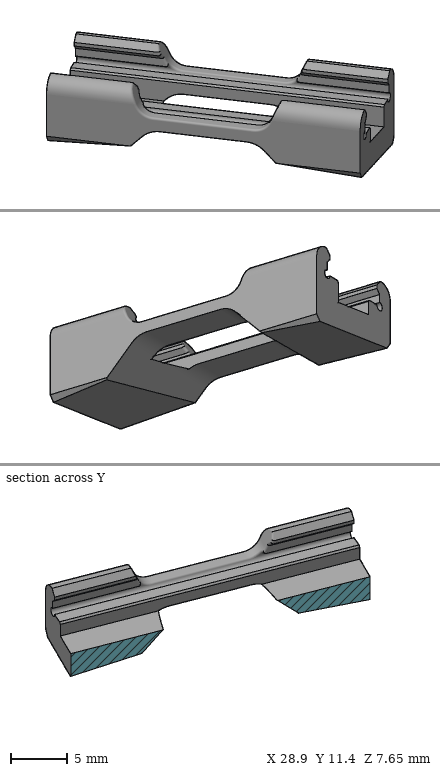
import math

import cadquery as cq

LENGTH = 28.87
WIDTH = 11.4
HEIGHT = 7.65
HALF_LENGTH = LENGTH / 2
HALF_WIDTH = WIDTH / 2

CROSS_TILT = 8.0
CHANNEL_HALF_WIDTH = 2.3
FLOOR_MIDDLE_HEIGHT = 3.32
FOOT_HALF_WIDTH = 5.2
LOW_CHAMFER_HEIGHT = 0.55
HIGH_CHAMFER_HEIGHT = 0.65
UNDERSIDE_RISE = 4.3

LEDGE_HEIGHT = 5.1
LEDGE_CHAMFER = 0.17
WALL_INNER_Y = 4.05
GROOVE_RADIUS = 0.4
LIP_OUTER_RADIUS = 1.41
LIP_TIP_Y = 3.6
LIP_TOP_Y = 4.2
LIP_TIP_TOP = 7.07
LIP_TIP_BOTTOM = 6.73

GAP_HALF_WIDTH = 6.8
GAP_SIDE_ANGLE = 24.0
GAP_FILLET = 1.67
GAP_RIM_RADIUS = 0.2

ARCH_HEIGHT = 3.87
ARCH_TOP_HALF_WIDTH = 4.95
ARCH_SIDE_ANGLE = 45.0
ARCH_FILLET = 2.3

CUT_MARGIN = 1.45
CROSS_SLOPE = math.tan(math.radians(CROSS_TILT))


def add_upper_wall(outline, side):
    """Continue a (Y, Z) outline from the outer side of one wall to its ledge chamfer."""
    diagonal = math.sqrt(0.5)
    arc_y = HALF_WIDTH - LIP_OUTER_RADIUS * (1 - diagonal)
    arc_z = HEIGHT - LIP_OUTER_RADIUS * (1 - diagonal)
    groove_mid_y = WALL_INNER_Y + GROOVE_RADIUS * diagonal
    groove_mid_z = LEDGE_HEIGHT - GROOVE_RADIUS * diagonal
    neck_top = LIP_TIP_BOTTOM - (WALL_INNER_Y - LIP_TIP_Y)
    return (
        outline.lineTo(side * HALF_WIDTH, HEIGHT - LIP_OUTER_RADIUS)
        .threePointArc((side * arc_y, arc_z), (side * (HALF_WIDTH - LIP_OUTER_RADIUS), HEIGHT))
        .lineTo(side * LIP_TOP_Y, HEIGHT)
        .lineTo(side * LIP_TIP_Y, LIP_TIP_TOP)
        .lineTo(side * LIP_TIP_Y, LIP_TIP_BOTTOM)
        .lineTo(side * WALL_INNER_Y, neck_top)
        .lineTo(side * WALL_INNER_Y, LEDGE_HEIGHT + GROOVE_RADIUS)
        .threePointArc(
            (side * groove_mid_y, groove_mid_z),
            (side * (WALL_INNER_Y - GROOVE_RADIUS), LEDGE_HEIGHT),
        )
        .lineTo(side * (CHANNEL_HALF_WIDTH + LEDGE_CHAMFER), LEDGE_HEIGHT)
        .lineTo(side * CHANNEL_HALF_WIDTH, LEDGE_HEIGHT - LEDGE_CHAMFER)
    )


def half_section(side):
    """Extrude the half of the cross-section on one side of the XZ plane."""
    foot_z = (FOOT_HALF_WIDTH - side * FOOT_HALF_WIDTH) * CROSS_SLOPE
    chamfer_height = LOW_CHAMFER_HEIGHT if side > 0 else HIGH_CHAMFER_HEIGHT
    outline = (
        cq.Workplane("YZ", origin=(-HALF_LENGTH, 0, 0))
        .moveTo(0, FOOT_HALF_WIDTH * CROSS_SLOPE)
        .lineTo(side * FOOT_HALF_WIDTH, foot_z)
        .lineTo(side * HALF_WIDTH, foot_z + chamfer_height)
    )
    return (
        add_upper_wall(outline, side)
        .lineTo(side * CHANNEL_HALF_WIDTH, FLOOR_MIDDLE_HEIGHT - side * CHANNEL_HALF_WIDTH * CROSS_SLOPE)
        .lineTo(0, FLOOR_MIDDLE_HEIGHT)
        .close()
        .extrude(LENGTH)
    )


def underside_wedge():
    """Ridge-shaped cutter that lifts the underside from both ends toward the middle."""
    ridge = HALF_LENGTH * math.tan(math.radians(UNDERSIDE_RISE))
    return (
        cq.Workplane("XZ")
        .polyline([(-HALF_LENGTH, 0), (0, ridge), (HALF_LENGTH, 0)])
        .close()
        .extrude(WIDTH, both=True)
        .rotate((0, 0, 0), (1, 0, 0), -CROSS_TILT)
        .translate((0, 0, FOOT_HALF_WIDTH * CROSS_SLOPE))
    )


def arch_cutter():
    """Flat-topped arch with sloping sides, running across the whole width."""
    spread = (ARCH_HEIGHT + CUT_MARGIN) * math.tan(math.radians(ARCH_SIDE_ANGLE))
    base_half_width = ARCH_TOP_HALF_WIDTH + spread
    return (
        cq.Workplane("XZ")
        .polyline([
            (-base_half_width, -CUT_MARGIN),
            (-ARCH_TOP_HALF_WIDTH, ARCH_HEIGHT),
            (ARCH_TOP_HALF_WIDTH, ARCH_HEIGHT),
            (base_half_width, -CUT_MARGIN),
        ])
        .close()
        .extrude(WIDTH, both=True)
        .edges("|Y and >Z")
        .fillet(ARCH_FILLET)
    )


def lip_gap_cutter():
    """Gap with flared sides that takes the middle out of both lips down to ledge level."""
    side_slope = math.tan(math.radians(GAP_SIDE_ANGLE))
    bottom_half_width = GAP_HALF_WIDTH - (HEIGHT - LEDGE_HEIGHT) * side_slope
    top_half_width = GAP_HALF_WIDTH + CUT_MARGIN * side_slope
    return (
        cq.Workplane("XZ")
        .polyline([
            (-top_half_width, HEIGHT + CUT_MARGIN),
            (-bottom_half_width, LEDGE_HEIGHT),
            (bottom_half_width, LEDGE_HEIGHT),
            (top_half_width, HEIGHT + CUT_MARGIN),
        ])
        .close()
        .extrude(WIDTH, both=True)
        .edges("|Y and <Z")
        .fillet(GAP_FILLET)
    )


def round_gap_rims(body):
    """Round every edge around the gaps, leaving the lines across the gap surfaces."""
    reach_x = GAP_HALF_WIDTH + GAP_RIM_RADIUS
    floor_z = LEDGE_HEIGHT - GAP_RIM_RADIUS
    rims = []
    for side in (1, -1):
        near_corner = (-reach_x, side * (LIP_TIP_Y - GAP_RIM_RADIUS), floor_z)
        far_corner = (reach_x, side * (HALF_WIDTH + GAP_RIM_RADIUS), HEIGHT + GAP_RIM_RADIUS)
        around_gap = cq.selectors.BoxSelector(near_corner, far_corner, boundingbox=True)
        rims += body.edges(around_gap).edges("not |Y").vals()
    return body.newObject(rims).fillet(GAP_RIM_RADIUS)


body = half_section(1).union(half_section(-1))
body = body.cut(underside_wedge()).cut(arch_cutter()).cut(lip_gap_cutter())
result = round_gap_rims(body)